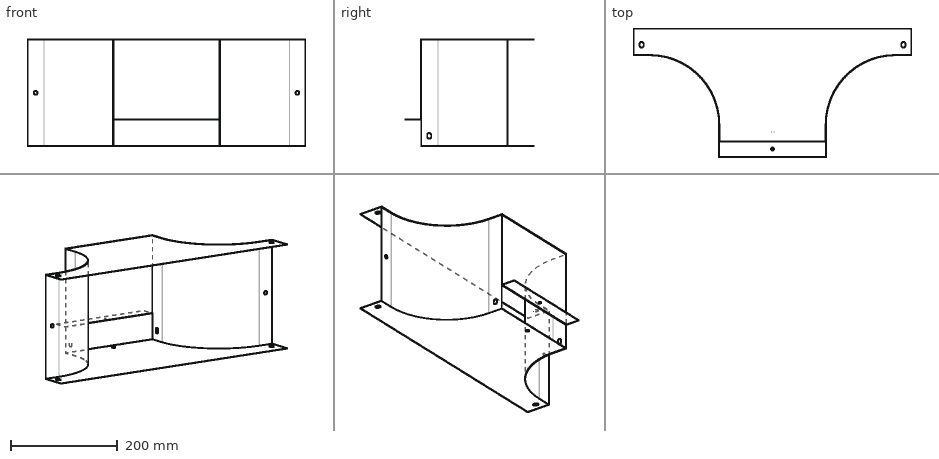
import cadquery as cq

length = 520.0
height = 200.0
stem_width = 200.0
sheet = 1.0
flange = 30.0
arm_depth = 50.0
web_height = 150.5
overall_depth = 240.0
lip_depth = 29.5

wall_hole_diameter = 7.0
lip_hole_diameter = 5.0
stem_slot_height = 20.0
slot_width = 7.5
slot_length = 10.5
edge_distance = flange / 2
slot_back_distance = 30.0

half_length = length / 2
half_stem = stem_width / 2
lip_front = -overall_depth
side_front = lip_front + lip_depth
web_front = side_front - sheet
arc_end_x = half_length - flange
bend_radius = arc_end_x - half_stem
arc_end_y = -arm_depth - bend_radius
slot_y = -slot_back_distance
lip_bottom = height - web_height


def plate(bottom):
    """T-shaped cover plate with quarter-round inner corners."""
    return (
        cq.Workplane("XY", origin=(0, 0, bottom))
        .moveTo(-half_length, 0)
        .lineTo(half_length, 0)
        .lineTo(half_length, -arm_depth)
        .lineTo(arc_end_x, -arm_depth)
        .radiusArc((half_stem, arc_end_y), -bend_radius)
        .lineTo(half_stem, side_front)
        .lineTo(-half_stem, side_front)
        .lineTo(-half_stem, arc_end_y)
        .radiusArc((-arc_end_x, -arm_depth), -bend_radius)
        .lineTo(-half_length, -arm_depth)
        .close()
        .extrude(sheet)
    )


def right_wall():
    """Curved side wall, lying just inside the edge of the cover plates."""
    outer_radius = bend_radius + sheet
    return (
        cq.Workplane("XY")
        .moveTo(half_length, -arm_depth)
        .lineTo(arc_end_x, -arm_depth)
        .radiusArc((half_stem, arc_end_y), -bend_radius)
        .lineTo(half_stem, side_front)
        .lineTo(half_stem - sheet, side_front)
        .lineTo(half_stem - sheet, arc_end_y)
        .radiusArc((arc_end_x, -arm_depth + sheet), outer_radius)
        .lineTo(half_length, -arm_depth + sheet)
        .close()
        .extrude(height)
    )


def front_plate():
    """Closing plate of the branch with its outward lip."""
    web = cq.Workplane("XY").box(stem_width, sheet, web_height, centered=(True, False, False))
    lip = cq.Workplane("XY").box(stem_width, lip_depth, sheet, centered=(True, False, False))
    return web.translate((0, web_front, lip_bottom)).union(lip.translate((0, lip_front, lip_bottom)))


def cover_slots():
    """Slots through both cover plates near the arm ends."""
    slot_x = half_length - edge_distance
    return (
        cq.Workplane("XY")
        .pushPoints([(-slot_x, slot_y), (slot_x, slot_y)])
        .slot2D(slot_length, slot_width, 90)
        .extrude(height)
    )


def arm_holes():
    """Round holes at mid height in the arm walls."""
    hole_x = half_length - edge_distance
    return (
        cq.Workplane("XZ")
        .pushPoints([(-hole_x, height / 2), (hole_x, height / 2)])
        .circle(wall_hole_diameter / 2)
        .extrude(overall_depth)
    )


def stem_slots():
    """Upright slots through both branch walls, low down near the open end."""
    return (
        cq.Workplane("YZ")
        .center(side_front + edge_distance, stem_slot_height)
        .slot2D(slot_length, slot_width, 90)
        .extrude(half_length, both=True)
    )


def upright_hole(y, diameter):
    """Hole on the symmetry plane through the sheets below the lip's top face."""
    return cq.Workplane("XY").center(0, y).circle(diameter / 2).extrude(lip_bottom + sheet)


wall = right_wall()
result = plate(0).union(plate(height - sheet)).union(wall).union(wall.mirror("YZ")).union(front_plate())
result = result.cut(cover_slots()).cut(arm_holes()).cut(stem_slots())
result = result.cut(upright_hole(lip_front + edge_distance, lip_hole_diameter))
result = result.cut(upright_hole(side_front + edge_distance, wall_hole_diameter))